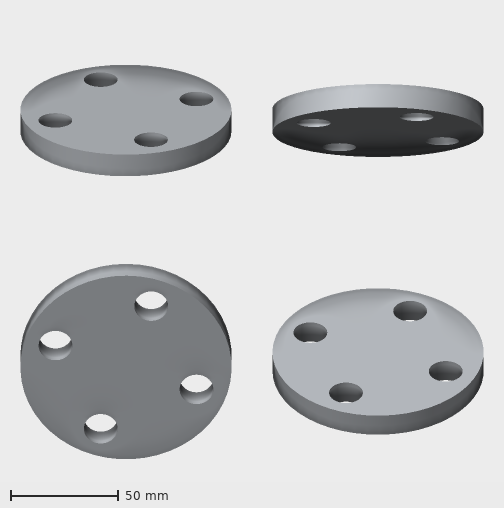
import cadquery as cq

flange_diameter = 98.5
flange_thickness = 11.1
bolt_circle_diameter = 69.85
bolt_hole_diameter = 15.8
bolt_hole_count = 4


def make_disc():
    """Solid disc standing on the XY plane, centred on the Z axis."""
    return cq.Workplane("XY").circle(flange_diameter / 2).extrude(flange_thickness)


def drill_bolt_holes(disc):
    """Through holes evenly spaced on the bolt circle, the first one on +X."""
    return (
        disc.faces(">Z")
        .workplane()
        .polarArray(bolt_circle_diameter / 2, 0, 360, bolt_hole_count)
        .hole(bolt_hole_diameter)
    )


result = drill_bolt_holes(make_disc())